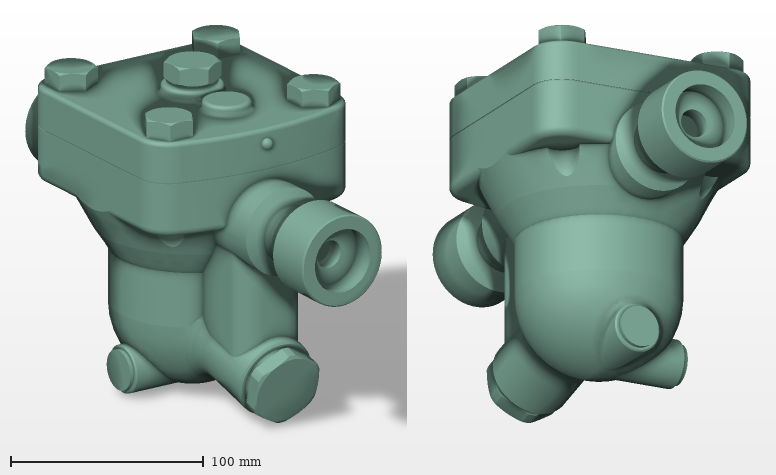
import cadquery as cq
import math

flange_bottom = 0.0
flange_fillet = 4.0

body_radius = 43.9
dome_center_z = -62.5
neck_z = -32.2
cone_mid_radius, cone_mid_z = 52.5, -19.0
cone_top_radius, cone_top_z = 64.8, flange_bottom + flange_fillet

half_side = 62.5
left_corner_radius = 16.8
right_corner_radius = 18.0
right_corner_x = 43.9
right_reach = 68.5
cover_top = 51.9
cover_fillet = 2.3
joint_z = 29.7
gasket_thickness = 0.8
gasket_inset = 0.39

bolt_spacing = 90.5
bolt_flats = 24.0
bolt_height = 9.8
hex_chamfer_angle = 30.0
spot_radius = 9.0
spot_depth = 20.6

boss_height = 5.7
boss_foot_fillet = 2.5
boss_edge_fillet = 2.0
plug_boss_radius = 33.0 / 2
side_boss_radius = 25.8 / 2
side_boss_x = 31.7
web_width = 14.2
plug_neck_radius = 21.0 / 2
plug_neck_height = 1.8
plug_flats = 26.0
plug_height = 10.0

pipe_mid_x = 10.3
pipe_z = 0.3
pipe_half_length = 129.0
socket_radius = 50.0 / 2
socket_length = 27.3
socket_chamfer = 0.8
neck_radius = 32.0 / 2
bead_radius = 33.0 / 2
root_radius = 48.0 / 2
socket_cone_length = 5.2
neck_end_length = 4.77
bead_length = 7.1
root_cone_length = 5.0
bore_radius = 34.5 / 2
bore_depth = 12.6
orifice_radius = 15.0 / 2
orifice_depth = 10.3

strainer_tilt = 15.0
strainer_radius = 44.0 / 2
strainer_length = 80.2
strainer_blend_radius = 16.5
strainer_edge_chamfer = 1.0
cap_neck_radius = 38.0 / 2
cap_neck_length = 2.8
cap_flats = 38.0
cap_round_diameter = 41.5
cap_height = 8.5

channel_reach = 77.1
channel_width = 39.7
channel_corner_radius = 12.0

drain_z = -92.4
drain_radius = 26.0 / 2
drain_length = 43.9
drain_chamfer = 0.8
drain_lip_radius = 22.0 / 2
drain_reach = 46.2
left_drain_setback = 0.5
drain_blend_radius = 3.5

pin_radius = 3.0
pin_z = 43.9
pin_reach = 72.2


def revolve_profile(profile):
    """Turn an (r, z) profile about the Z axis."""
    return profile.close().revolve(360, (0, 0, 0), (0, 1, 0))


def lathe(points):
    """Turn a straight-sided (r, z) outline about the Z axis."""
    return revolve_profile(cq.Workplane("XZ").polyline(points))


def hexagon(flats, height, turn, bottom_chamfer=False):
    """Hex prism on Z = 0 with its corners turned off at the ends."""
    corner_radius = flats / math.sqrt(3)
    drop = (corner_radius - flats / 2) * math.tan(math.radians(hex_chamfer_angle))
    low_radius = flats / 2 if bottom_chamfer else corner_radius
    blank = lathe([
        (0, 0), (low_radius, 0), (corner_radius, drop),
        (corner_radius, height - drop), (flats / 2, height), (0, height),
    ])
    prism = cq.Workplane("XY").polygon(6, 2 * corner_radius).extrude(height)
    return prism.rotate((0, 0, 0), (0, 0, 1), turn).intersect(blank)


def make_body():
    """Domed pot widening into a cone, trimmed where it would bulge past the flange sides."""
    profile = (
        cq.Workplane("XZ")
        .moveTo(0, dome_center_z - body_radius)
        .threePointArc(
            (body_radius * math.sqrt(0.5), dome_center_z - body_radius * math.sqrt(0.5)),
            (body_radius, dome_center_z),
        )
        .lineTo(body_radius, neck_z)
        .lineTo(cone_mid_radius, cone_mid_z)
        .lineTo(cone_top_radius, cone_top_z)
        .lineTo(0, cone_top_z)
    )
    pot_height = cone_top_z - dome_center_z + body_radius
    trim = flange_plate(cone_top_z - pot_height, pot_height)
    return revolve_profile(profile).intersect(trim)


def flange_plate(bottom, height):
    """Rounded square whose right side is one large arc tangent to its corners."""
    corner_y = half_side - right_corner_radius
    rise = right_reach - right_corner_x
    chord_term = rise**2 + corner_y**2 - right_corner_radius**2
    side_radius = chord_term / (2 * (rise - right_corner_radius))
    side_center_x = right_reach - side_radius
    angle = math.atan2(corner_y, right_corner_x - side_center_x)
    tangent_x = side_center_x + side_radius * math.cos(angle)
    tangent_y = side_radius * math.sin(angle)
    mid_angle = (angle + math.pi / 2) / 2
    corner_mid_x = right_corner_x + right_corner_radius * math.cos(mid_angle)
    corner_mid_y = corner_y + right_corner_radius * math.sin(mid_angle)
    left_center = half_side - left_corner_radius
    left_mid = left_center + left_corner_radius * math.sqrt(0.5)
    return (
        cq.Workplane("XY", origin=(0, 0, bottom))
        .moveTo(-left_center, -half_side)
        .lineTo(right_corner_x, -half_side)
        .threePointArc((corner_mid_x, -corner_mid_y), (tangent_x, -tangent_y))
        .threePointArc((right_reach, 0), (tangent_x, tangent_y))
        .threePointArc((corner_mid_x, corner_mid_y), (right_corner_x, half_side))
        .lineTo(-left_center, half_side)
        .threePointArc((-left_mid, left_mid), (-half_side, left_center))
        .lineTo(-half_side, -left_center)
        .threePointArc((-left_mid, -left_mid), (-left_center, -half_side))
        .close()
        .extrude(height)
    )


def make_flange():
    """Body flange, thin recessed gasket and cover."""
    plate = flange_plate(flange_bottom, cover_top - flange_bottom)
    plate = plate.faces(">Z").edges().fillet(cover_fillet)
    plate = plate.faces("<Z").edges().fillet(flange_fillet)
    seam = flange_plate(joint_z - gasket_thickness / 2, gasket_thickness)
    gasket = seam.faces(">Z").wires().toPending().offset2D(-gasket_inset).extrude(
        -gasket_thickness, combine=False
    )
    return plate.cut(seam.cut(gasket))


def bolt_places():
    half = bolt_spacing / 2
    return [(x, y) for x in (-half, half) for y in (-half, half)]


def make_bolts():
    """Hex heads, those on one diagonal turned by a quarter turn."""
    heads = cq.Workplane("XY")
    for x, y in bolt_places():
        turn = 0 if x * y > 0 else 90
        head = hexagon(bolt_flats, bolt_height, turn)
        heads = heads.union(head.translate((x, y, cover_top)))
    return heads


def make_spots():
    """Clearance scallops in the cone below each bolt."""
    return (
        cq.Workplane("XY", origin=(0, 0, flange_bottom))
        .pushPoints(bolt_places())
        .circle(spot_radius)
        .extrude(-spot_depth)
    )


def round_boss(radius):
    """Round boss with a flared foot and a rounded top edge."""
    foot = boss_foot_fillet
    edge = boss_edge_fillet
    bend = 1 - math.sqrt(0.5)
    profile = (
        cq.Workplane("XZ")
        .lineTo(radius + foot, 0)
        .threePointArc((radius + foot * bend, foot * bend), (radius, foot))
        .lineTo(radius, boss_height - edge)
        .threePointArc(
            (radius - edge * bend, boss_height - edge * bend),
            (radius - edge, boss_height),
        )
        .lineTo(0, boss_height)
    )
    return revolve_profile(profile)


def make_boss_web():
    """Low bridge with flared sides joining the two cover bosses."""
    foot = boss_foot_fillet
    bend = foot * (1 - math.sqrt(0.5))
    half = web_width / 2
    return (
        cq.Workplane("YZ")
        .moveTo(-half - foot, 0)
        .lineTo(half + foot, 0)
        .threePointArc((half + bend, bend), (half, foot))
        .lineTo(-half, foot)
        .threePointArc((-half - bend, bend), (-half - foot, 0))
        .close()
        .extrude(side_boss_x)
    )


def make_cover_plugs():
    """Plug with its boss, and the smaller plain boss beside it."""
    plug_neck = (
        cq.Workplane("XY", origin=(0, 0, boss_height))
        .circle(plug_neck_radius)
        .extrude(plug_neck_height)
    )
    plug = hexagon(plug_flats, plug_height, 0, bottom_chamfer=True)
    return (
        round_boss(plug_boss_radius)
        .union(round_boss(side_boss_radius).translate((side_boss_x, 0, 0)))
        .union(make_boss_web())
        .union(plug_neck)
        .union(plug.translate((0, 0, boss_height + plug_neck_height)))
        .translate((0, 0, cover_top))
    )


def make_pipe():
    """Pipe end pointing along +X, from the middle of the pipe to the socket face."""
    socket_back = pipe_half_length - socket_length
    neck_outer = socket_back - socket_cone_length
    bead_outer = neck_outer - neck_end_length
    bead_inner = bead_outer - bead_length
    neck_inner = bead_inner - neck_end_length
    root_end = neck_inner - root_cone_length
    profile = (
        cq.Workplane("XZ")
        .lineTo(0, root_radius)
        .lineTo(root_end, root_radius)
        .lineTo(neck_inner, neck_radius)
        .lineTo(bead_inner, neck_radius)
        .threePointArc(((bead_inner + bead_outer) / 2, bead_radius), (bead_outer, neck_radius))
        .lineTo(neck_outer, neck_radius)
        .lineTo(socket_back, socket_radius)
        .lineTo(pipe_half_length - socket_chamfer, socket_radius)
        .lineTo(pipe_half_length, socket_radius - socket_chamfer)
        .lineTo(pipe_half_length, bore_radius)
        .lineTo(pipe_half_length - bore_depth, bore_radius)
        .lineTo(pipe_half_length - bore_depth, orifice_radius)
        .lineTo(pipe_half_length - bore_depth - orifice_depth, orifice_radius)
        .lineTo(pipe_half_length - bore_depth - orifice_depth, 0)
        .close()
    )
    return profile.revolve(360, (0, 0, 0), (1, 0, 0))


def make_strainer():
    """Inclined boss blended into the dome, with a hex cap on its end."""
    blend_r = strainer_radius + strainer_blend_radius
    blend_along = math.sqrt((body_radius + strainer_blend_radius) ** 2 - blend_r**2)
    contact = body_radius / (body_radius + strainer_blend_radius)
    dome_direction = math.atan2(-blend_along, -blend_r)
    boss_direction = -math.pi
    mid_direction = (dome_direction + boss_direction) / 2
    blend_mid = (
        blend_r + strainer_blend_radius * math.cos(mid_direction),
        blend_along + strainer_blend_radius * math.sin(mid_direction),
    )
    profile = (
        cq.Workplane("XZ")
        .lineTo(blend_r * contact, blend_along * contact)
        .threePointArc(blend_mid, (strainer_radius, blend_along))
        .lineTo(strainer_radius, strainer_length - strainer_edge_chamfer)
        .lineTo(strainer_radius - strainer_edge_chamfer, strainer_length)
        .lineTo(cap_neck_radius, strainer_length)
        .lineTo(cap_neck_radius, strainer_length + cap_neck_length)
        .lineTo(0, strainer_length + cap_neck_length)
    )
    cap = hexagon(cap_flats, cap_height, 0)
    cap = cap.intersect(cq.Workplane("XY").circle(cap_round_diameter / 2).extrude(cap_height))
    return (
        revolve_profile(profile)
        .union(cap.translate((0, 0, strainer_length + cap_neck_length)))
        .rotate((0, 0, 0), (0, 1, 0), 90 + strainer_tilt)
        .translate((0, 0, dome_center_z))
    )


def make_channel():
    """Rounded slab running down from the pipe to the strainer axis."""
    low_z = dome_center_z - channel_reach * math.tan(math.radians(strainer_tilt))
    return (
        cq.Workplane("XZ")
        .polyline([(0, 0), (channel_reach, 0), (channel_reach, low_z), (0, dome_center_z)])
        .close()
        .extrude(channel_width / 2, both=True)
        .edges("|Z and >X")
        .fillet(channel_corner_radius)
    )


def make_drain():
    """Drain boss along +Z, ending in a stepped lip."""
    return lathe([
        (0, 0), (drain_radius, 0), (drain_radius, drain_length - drain_chamfer),
        (drain_radius - drain_chamfer, drain_length), (drain_lip_radius, drain_length),
        (drain_lip_radius, drain_reach), (0, drain_reach),
    ])


def make_pin():
    """Round-ended pin standing out of the right side of the cover."""
    tip_x = pin_reach - pin_radius
    shank = cq.Workplane("YZ", origin=(0, 0, pin_z)).circle(pin_radius).extrude(tip_x)
    return shank.union(cq.Workplane("XY").sphere(pin_radius).translate((tip_x, 0, pin_z)))


def make_pot():
    """Pot with its left drain, blended along the curve where the drain meets the dome."""
    drain = make_drain().rotate((0, 0, 0), (0, 1, 0), -90)
    pot = make_body().union(drain.translate((left_drain_setback, 0, drain_z)))
    margin = 2 * drain_radius
    joint_box = cq.selectors.BoxSelector(
        (-body_radius, -margin, drain_z - margin),
        (0, margin, drain_z + margin),
    )
    return pot.edges(joint_box).edges("%BSPLINE").fillet(drain_blend_radius)


front_drain = make_drain().rotate((0, 0, 0), (1, 0, 0), 90).translate((0, 0, drain_z))
right_pipe = make_pipe().translate((pipe_mid_x, 0, pipe_z))
left_pipe = make_pipe().rotate((0, 0, 0), (0, 0, 1), 180).translate((pipe_mid_x, 0, pipe_z))

result = (
    make_pot().cut(make_spots())
    .union(make_flange())
    .union(make_channel())
    .union(left_pipe)
    .union(right_pipe)
    .union(make_strainer())
    .union(front_drain)
    .union(make_bolts())
    .union(make_cover_plugs())
    .union(make_pin())
)